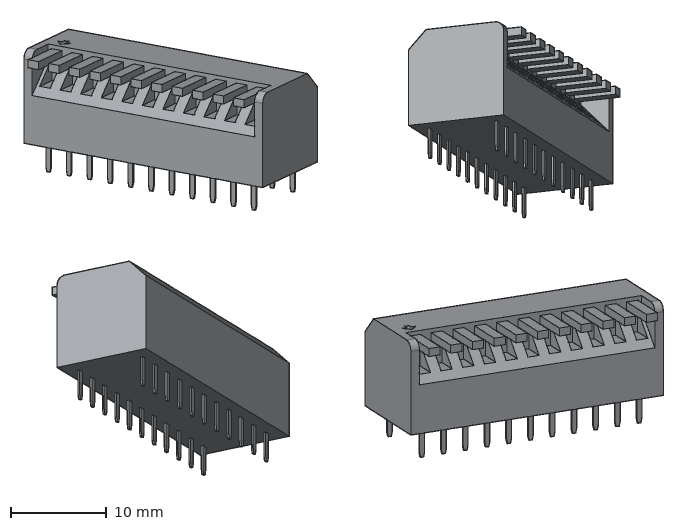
import cadquery as cq


length = 29.5
depth = 10.8
height = 10.2
rear_chamfer = 2.0
front_fillet = 0.97

end_wall = 1.0
recess_depth = 3.2
back_wall_drop = 1.6
front_edge_drop = 4.8

lever_count = 11
pitch = 2.55
lever_width = 1.3
lever_height = 0.88
lever_top_drop = 0.45
lever_reach = 1.42
slot_bottom_drop = 3.95
slot_inset = 0.1

row_spacing = 7.6
pin_width = 0.6
pin_thickness = 0.2
pin_length = 3.2
pin_tip_width = 0.35
pin_taper_length = 0.53

arrow_gap = 0.68
arrow_head_width = 1.53
arrow_head_length = 0.77
arrow_stem_width = 0.47
arrow_stem_length = 0.53
arrow_engraving = 0.03

front_y = -depth / 2
back_wall_y = front_y + recess_depth
lever_places = [(i - (lever_count - 1) / 2) * pitch for i in range(lever_count)]


def make_housing():
    block = cq.Workplane("XY").box(length, depth, height, centered=(True, True, False))
    block = block.edges(">Z and >Y").chamfer(rear_chamfer)
    return block.edges(">Z and <Y").fillet(front_fillet)


def make_recess():
    """Wedge-bottomed space between the end walls."""
    width = length - 2 * end_wall
    profile = [
        (back_wall_y, height),
        (back_wall_y, height - back_wall_drop),
        (front_y, height - front_edge_drop),
        (front_y, height),
    ]
    return cq.Workplane("YZ").polyline(profile).close().extrude(width / 2, both=True)


def make_slot(x):
    """Pocket below a lever, sunk through the sloped floor and slightly into the recess back wall."""
    slot_height = slot_bottom_drop - lever_top_drop
    return (
        cq.Workplane("XY")
        .box(lever_width, recess_depth + slot_inset, slot_height, centered=(True, False, False))
        .translate((x, front_y, height - slot_bottom_drop))
    )


def make_lever(x):
    """Bar standing out from the back of its slot past the front of the housing."""
    lever_length = lever_reach + recess_depth + slot_inset
    return (
        cq.Workplane("XY")
        .box(lever_width, lever_length, lever_height, centered=(True, False, False))
        .translate((x, front_y - lever_reach, height - lever_top_drop - lever_height))
    )


def make_pin(x, y):
    """Flat pin whose sides taper to a narrower tip."""
    taper_start = pin_taper_length - pin_length
    profile = [
        (-pin_width / 2, 0),
        (-pin_width / 2, taper_start),
        (-pin_tip_width / 2, -pin_length),
        (pin_tip_width / 2, -pin_length),
        (pin_width / 2, taper_start),
        (pin_width / 2, 0),
    ]
    pin = cq.Workplane("XZ").polyline(profile).close().extrude(pin_thickness / 2, both=True)
    return pin.translate((x, y, 0))


def make_arrow(x):
    """Arrow pointing at the lever, cut shallowly into the top face."""
    tip_y = back_wall_y + arrow_gap
    head_y = tip_y + arrow_head_length
    tail_y = head_y + arrow_stem_length
    outline = [
        (x, tip_y),
        (x + arrow_head_width / 2, head_y),
        (x + arrow_stem_width / 2, head_y),
        (x + arrow_stem_width / 2, tail_y),
        (x - arrow_stem_width / 2, tail_y),
        (x - arrow_stem_width / 2, head_y),
        (x - arrow_head_width / 2, head_y),
    ]
    return cq.Workplane("XY", origin=(0, 0, height)).polyline(outline).close().extrude(-arrow_engraving)


result = make_housing().cut(make_recess()).cut(make_arrow(lever_places[0]))
for place in lever_places:
    result = result.cut(make_slot(place))
    result = result.union(make_lever(place))
    for row_y in (-row_spacing / 2, row_spacing / 2):
        result = result.union(make_pin(place, row_y))